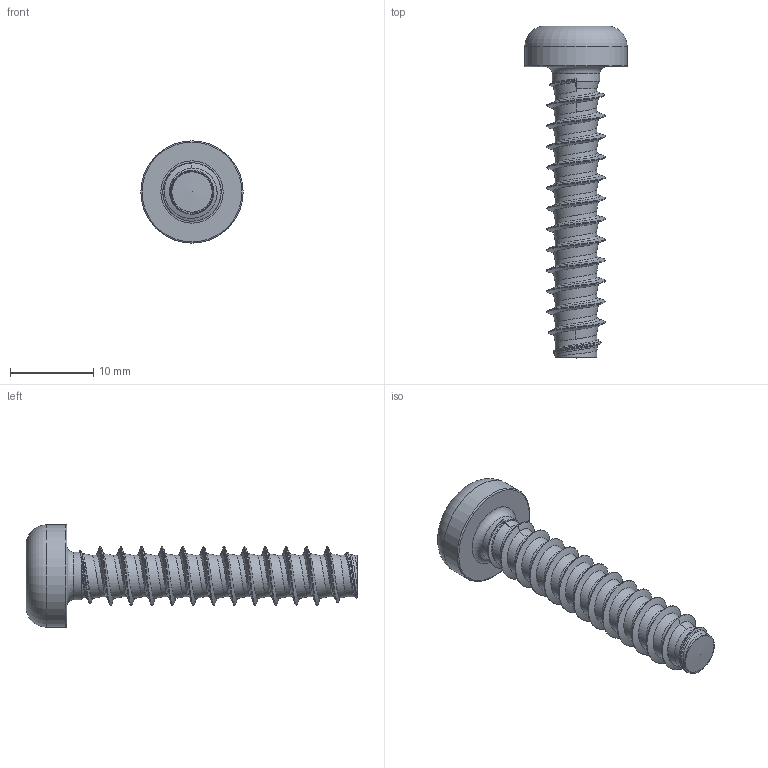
import cadquery as cq
import math


head_radius = 12.3 / 2
head_height = 4.89
crown_radius = head_height / 2
head_edge_fillet = 0.15

shank_length = 35.0
neck_radius = 2.87
neck_fillet = 0.87
neck_length = 1.75
core_radius = 2.5
relief_radius = 2.72
relief_end = 2.87
tip_point_height = 0.06
tip_radius = 2.42
tip_length = shank_length - tip_point_height

pitch = 2.48
crest_radius = 3.5
crest_half_width = 0.05
blade_base_radius = 2.72
blade_base_half_width = 0.3
head_side_foot = 0.48
head_side_top_radius = 2.85
tip_side_top_radius = 2.71
ramp_foot = 1.43
root_overlap = 0.05
base_radius = core_radius - root_overlap

thread_start = 1.55
run_in_turns = 1
full_turns = 11
run_out_turns = 1.5
run_in_angle = 10.5
run_out_angle = 14.5
root_sink_angle = 3.0

core_lead = pitch
core_excess = 2 * pitch
cutter_end = shank_length + 3 * pitch


def revolve_outline(outline):
    """Revolve an (r, z) outline drawn in the YZ plane about the Z axis."""
    return outline.close().revolve(360, (0, 0, 0), (0, 1, 0))


def make_head():
    crown_bend = crown_radius * math.sqrt(0.5)
    crown_center_r = head_radius - crown_radius
    crown_center_z = -head_height + crown_radius
    outline = (
        cq.Workplane("YZ")
        .moveTo(0, 0)
        .lineTo(head_radius, 0)
        .lineTo(head_radius, crown_center_z)
        .threePointArc(
            (crown_center_r + crown_bend, crown_center_z - crown_bend),
            (crown_center_r, -head_height),
        )
        .lineTo(0, -head_height)
    )
    return revolve_outline(outline).faces(">Z").edges().fillet(head_edge_fillet)


def make_neck():
    """Filleted neck and relief cone, with a stub that reaches into the head."""
    fillet_bend = neck_fillet * (1 - math.sqrt(0.5))
    outline = (
        cq.Workplane("YZ")
        .moveTo(0, -crown_radius)
        .lineTo(neck_radius + neck_fillet, -crown_radius)
        .lineTo(neck_radius + neck_fillet, 0)
        .threePointArc(
            (neck_radius + fillet_bend, fillet_bend),
            (neck_radius, neck_fillet),
        )
        .lineTo(neck_radius, neck_length)
        .lineTo(relief_radius, neck_length)
        .lineTo(core_radius - root_overlap, relief_end)
        .lineTo(0, relief_end)
    )
    return revolve_outline(outline)


def make_core():
    """Plain cylinder running past both ends of the thread."""
    core_length = core_lead + shank_length + core_excess
    return cq.Workplane("XY").workplane(offset=-core_lead).circle(core_radius).extrude(core_length)


def blade_half_width(radius):
    taper = (blade_base_half_width - crest_half_width) / (crest_radius - blade_base_radius)
    return crest_half_width + taper * (crest_radius - radius)


def blade_section():
    half_width = blade_half_width(base_radius)
    return [
        (base_radius, -half_width),
        (crest_radius, -crest_half_width),
        (crest_radius, crest_half_width),
        (base_radius, half_width),
    ]


def root_section(crest_points=()):
    """Foot towards the head and ramp towards the tip, with optional points between them."""
    head_side_top = blade_half_width(head_side_top_radius)
    tip_side_top = blade_half_width(tip_side_top_radius)
    foot_slope = (head_side_foot - head_side_top) / (head_side_top_radius - core_radius)
    ramp_slope = (ramp_foot - tip_side_top) / (tip_side_top_radius - core_radius)
    return [
        (base_radius, -head_side_foot - foot_slope * root_overlap),
        (head_side_top_radius, -head_side_top),
        *crest_points,
        (tip_side_top_radius, tip_side_top),
        (base_radius, ramp_foot + ramp_slope * root_overlap),
    ]


def full_section():
    return root_section([(crest_radius, -crest_half_width), (crest_radius, crest_half_width)])


def sweep_ridge(section, path):
    """Sweep a section along a helix that starts on the +X side at z = 0."""
    return cq.Workplane("XZ").polyline(section).close().sweep(cq.Workplane(path), isFrenet=True)


def level_helix(turns):
    return cq.Wire.makeHelix(pitch, pitch * turns, core_radius)


def sinking_helix(turns, angle):
    """Right-handed helix on a cone that narrows inwards by the given angle."""
    slant = math.cos(math.radians(angle))
    return cq.Wire.makeHelix(pitch / slant, pitch * turns / slant, core_radius, angle=-angle)


def place_ridge(ridge, turns):
    """Screw a ridge from the +X side at z = 0 to the given number of turns along the thread."""
    ridge = ridge.rotate((0, 0, 0), (0, 0, 1), 90 + 360 * turns)
    return ridge.translate((0, 0, thread_start + pitch * turns))


def make_full_thread():
    return place_ridge(sweep_ridge(full_section(), level_helix(full_turns)), run_in_turns)


def make_blade_run_in():
    """Swept from the full thread back towards the head, so made upside down."""
    ridge = sweep_ridge(blade_section(), sinking_helix(run_in_turns, run_in_angle))
    return place_ridge(ridge.rotate((0, 0, 0), (1, 0, 0), 180), run_in_turns)


def make_root_run_in():
    return place_ridge(sweep_ridge(root_section(), level_helix(run_in_turns)), 0)


def make_blade_run_out():
    ridge = sweep_ridge(blade_section(), sinking_helix(run_out_turns, run_out_angle))
    return place_ridge(ridge, run_in_turns + full_turns)


def make_root_run_out():
    ridge = sweep_ridge(root_section(), sinking_helix(run_out_turns, root_sink_angle))
    return place_ridge(ridge, run_in_turns + full_turns)


def make_tip_cutter():
    """Everything beyond the end face, which is a very shallow cone."""
    outline = (
        cq.Workplane("YZ")
        .moveTo(0, shank_length)
        .lineTo(tip_radius, tip_length)
        .lineTo(head_radius, tip_length)
        .lineTo(head_radius, cutter_end)
        .lineTo(0, cutter_end)
    )
    return revolve_outline(outline)


shank = make_core().union(make_full_thread())
shank = shank.union(make_root_run_in()).union(make_blade_run_in())
shank = shank.union(make_root_run_out()).union(make_blade_run_out())
screw = shank.cut(make_tip_cutter()).union(make_neck()).union(make_head())
result = screw.rotate((0, 0, 0), (1, 0, 0), 90)